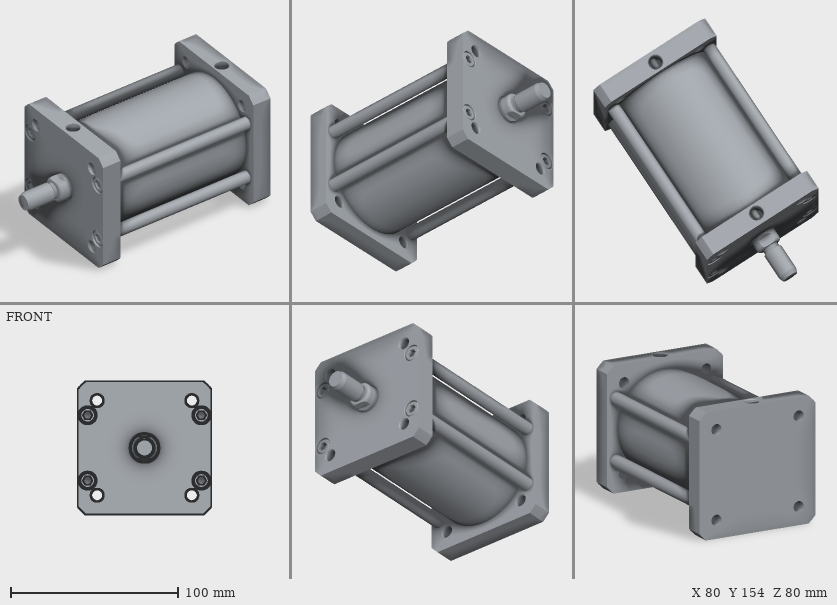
import cadquery as cq
import math

ROD_REACH = 29.9
BODY_LENGTH = 154 - ROD_REACH
PLATE_THICK = 12.8
JOINT_GAP = 0.5
REAR_INNER = BODY_LENGTH - PLATE_THICK

PLATE_SIDE = 80.0
CORNER_CUT = 4.6
MOUNT_OFFSET = 28.3
MOUNT_D = 7.0
MOUNT_CHAMFER_D = 8.0
MOUNT_CHAMFER_DEPTH = 1.0
PORT_INSET = 7.0
PORT_D = 8.6
PORT_CHAMFER_D = 9.5
PORT_DEPTH = 12.3
PORT_BAR_D = 4.0
PORT_BAR_DEPTH = 10.8
DRILL_TIP_ANGLE = 118

TUBE_OD = 66.0
TUBE_ID = 63.0

TIE_X = 34.0
TIE_Z = 19.5
TIE_D = 8.0
TIE_SHANK_D = 6.0
HEAD_D = 10.0
HEAD_FACE_D = 8.6
HEAD_LENGTH = 6.0
HEAD_SINK = 0.5
COUNTERBORE_D = 10.5
COUNTERBORE_CHAMFER_D = 11.0
SOCKET_FLATS = 5.0
SOCKET_DEPTH = 3.0

ROD_D = 16.0
LIP_D = 16.5
LIP_HEIGHT = 0.3
LIP_GROOVE_D = 18.0
LIP_GROOVE_FLOOR_D = 17.7
LIP_GROOVE_DEPTH = 0.5
ROD_SHOULDER = 7.9
SHOULDER_FILLET = 2.0
FLATS_WIDTH = 13.1
FLATS_START = 2.5
FLATS_CLEARANCE = 0.8
NECK_D = 10.0
NECK_END = 10.0
NECK_FILLET = 0.5
THREAD_D = 12.0
THREAD_TIP_CHAMFER = 2.8


def cylinder_y(diameter, y_start, y_end, x=0, z=0):
    """Solid cylinder along Y between two Y positions."""
    return cq.Workplane("XZ", origin=(x, y_start, z)).circle(diameter / 2).extrude(y_start - y_end)


def turned(profile, x=0, z=0):
    """Solid turned about an axis along Y from (radius, Y) points."""
    solid = cq.Workplane("XY").polyline(profile).close().revolve(360, (0, 0, 0), (0, 1, 0))
    return solid.translate((x, 0, z))


def cone_y(d_start, d_end, y_start, y_end, x=0, z=0):
    """Solid cone frustum along Y between two Y positions."""
    return turned([(0, y_start), (d_start / 2, y_start), (d_end / 2, y_end), (0, y_end)], x, z)


def corners(x, z):
    """The four points at plus and minus x and z."""
    return [(sx * x, sz * z) for sx in (-1, 1) for sz in (-1, 1)]


def port(y_centre):
    """Port bored down from the top edge, with a conical floor and a round bar left across it."""
    top = PLATE_SIDE / 2
    floor = top - PORT_DEPTH
    tip = floor - PORT_D / 2 / math.tan(math.radians(DRILL_TIP_ANGLE / 2))
    chamfer = (PORT_CHAMFER_D - PORT_D) / 2
    profile = [
        (0, tip),
        (PORT_D / 2, floor),
        (PORT_D / 2, top - chamfer),
        (PORT_CHAMFER_D / 2, top),
        (0, top),
    ]
    bore = cq.Workplane("XZ").polyline(profile).close().revolve(360, (0, 0, 0), (0, 1, 0))
    bore = bore.translate((0, y_centre, 0))
    bar = cylinder_y(PORT_BAR_D, y_centre - PORT_D, y_centre + PORT_D, 0, top - PORT_BAR_DEPTH)
    return bore.cut(bar)


def plate_blank(y_start, port_y):
    """Square plate with rounded-off corners, mounting holes and a port in its top edge."""
    y_end = y_start + PLATE_THICK
    half = PLATE_SIDE / 2
    plate = cq.Workplane("XY").box(PLATE_SIDE, PLATE_THICK, PLATE_SIDE)
    plate = plate.translate((0, (y_start + y_end) / 2, 0))
    corner_round_d = 2 * math.hypot(half, half - CORNER_CUT)
    plate = plate.intersect(cylinder_y(corner_round_d, y_start, y_end))
    for x, z in corners(MOUNT_OFFSET, MOUNT_OFFSET):
        plate = plate.cut(cylinder_y(MOUNT_D, y_start, y_end, x, z))
        plate = plate.cut(cone_y(MOUNT_CHAMFER_D, MOUNT_D, y_start, y_start + MOUNT_CHAMFER_DEPTH, x, z))
    return plate.cut(port(port_y))


def add_rod_lip(plate):
    """Low lip around the rod, standing in a shallow ring groove in the front face."""
    groove = cone_y(LIP_GROOVE_D, LIP_GROOVE_FLOOR_D, 0, LIP_GROOVE_DEPTH)
    plate = plate.cut(groove).union(cylinder_y(LIP_D, -LIP_HEIGHT, LIP_GROOVE_DEPTH))
    return plate.cut(cylinder_y(ROD_D, -LIP_HEIGHT, PLATE_THICK))


def make_front_plate():
    """Front plate with the rod bore and counterbored tie rod holes."""
    plate = add_rod_lip(plate_blank(0, PORT_INSET))
    chamfer = (COUNTERBORE_CHAMFER_D - COUNTERBORE_D) / 2
    for x, z in corners(TIE_X, TIE_Z):
        plate = plate.cut(cone_y(COUNTERBORE_CHAMFER_D, COUNTERBORE_D, 0, chamfer, x, z))
        plate = plate.cut(cylinder_y(COUNTERBORE_D, 0, HEAD_SINK + HEAD_LENGTH, x, z))
        plate = plate.cut(cylinder_y(TIE_SHANK_D, 0, PLATE_THICK, x, z))
    return plate


def make_rear_plate():
    return plate_blank(REAR_INNER, BODY_LENGTH - PORT_INSET)


def make_tube():
    """Cylinder tube standing on the rear plate, just short of the front plate."""
    tube_start = PLATE_THICK + JOINT_GAP
    return cylinder_y(TUBE_OD, tube_start, REAR_INNER).cut(cylinder_y(TUBE_ID, tube_start, REAR_INNER))


def head_socket():
    """Hexagonal socket with a drilled conical floor."""
    corner_radius = SOCKET_FLATS / 2 / math.cos(math.pi / 6)
    floor = HEAD_SINK + SOCKET_DEPTH
    tip = floor + corner_radius / math.tan(math.radians(DRILL_TIP_ANGLE / 2))
    drill = turned([(0, HEAD_SINK), (corner_radius, HEAD_SINK), (corner_radius, floor), (0, tip)])
    hexagon = cq.Workplane("XZ", origin=(0, HEAD_SINK, 0)).polygon(6, 2 * corner_radius)
    return hexagon.extrude(HEAD_SINK - tip).intersect(drill)


def make_tie_rod(x, z):
    """Tie rod with a sunk socket head in the front plate, a thin shank and a thicker free length."""
    head_end = HEAD_SINK + HEAD_LENGTH
    chamfer = (HEAD_D - HEAD_FACE_D) / 2
    rod = cone_y(HEAD_FACE_D, HEAD_D, HEAD_SINK, HEAD_SINK + chamfer)
    rod = rod.union(cylinder_y(HEAD_D, HEAD_SINK + chamfer, head_end))
    rod = rod.union(cylinder_y(TIE_SHANK_D, head_end, REAR_INNER))
    rod = rod.union(cylinder_y(TIE_D, PLATE_THICK + JOINT_GAP, REAR_INNER - JOINT_GAP))
    return rod.cut(head_socket()).translate((x, 0, z))


def wrench_flat(side):
    """Material removed above (side = 1) or below (side = -1) the rod, ending in a 45 degree ramp."""
    inner = FLATS_WIDTH / 2
    outer = ROD_D / 2 + FLATS_CLEARANCE
    profile = [
        (-ROD_SHOULDER, side * inner),
        (-FLATS_START, side * inner),
        (-FLATS_START + outer - inner, side * outer),
        (-ROD_SHOULDER, side * outer),
    ]
    return cq.Workplane("YZ").polyline(profile).close().extrude(ROD_D, both=True)


def make_piston_rod():
    """Piston rod with a rounded shoulder, wrench flats, a neck and a chamfered threaded end."""
    rod_r = ROD_D / 2
    neck_r = NECK_D / 2
    thread_r = THREAD_D / 2
    profile = (
        cq.Workplane("XY")
        .moveTo(0, REAR_INNER)
        .lineTo(rod_r, REAR_INNER)
        .lineTo(rod_r, SHOULDER_FILLET - ROD_SHOULDER)
        .radiusArc((rod_r - SHOULDER_FILLET, -ROD_SHOULDER), SHOULDER_FILLET)
        .lineTo(neck_r + NECK_FILLET, -ROD_SHOULDER)
        .radiusArc((neck_r, -ROD_SHOULDER - NECK_FILLET), -NECK_FILLET)
        .lineTo(neck_r, -NECK_END)
        .lineTo(thread_r, -NECK_END - (thread_r - neck_r))
        .lineTo(thread_r, THREAD_TIP_CHAMFER - ROD_REACH)
        .lineTo(neck_r, -ROD_REACH)
        .lineTo(0, -ROD_REACH)
        .close()
    )
    rod = profile.revolve(360, (0, 0, 0), (0, 1, 0))
    for side in (-1, 1):
        rod = rod.cut(wrench_flat(side))
    return rod


front_plate = make_front_plate()
rear_plate = make_rear_plate()
tube = make_tube()
piston_rod = make_piston_rod()
tie_rods = [make_tie_rod(x, z) for x, z in corners(TIE_X, TIE_Z)]

result = cq.Compound.makeCompound([
    front_plate.val(),
    rear_plate.val(),
    tube.val(),
    piston_rod.val(),
    *[rod.val() for rod in tie_rods],
])